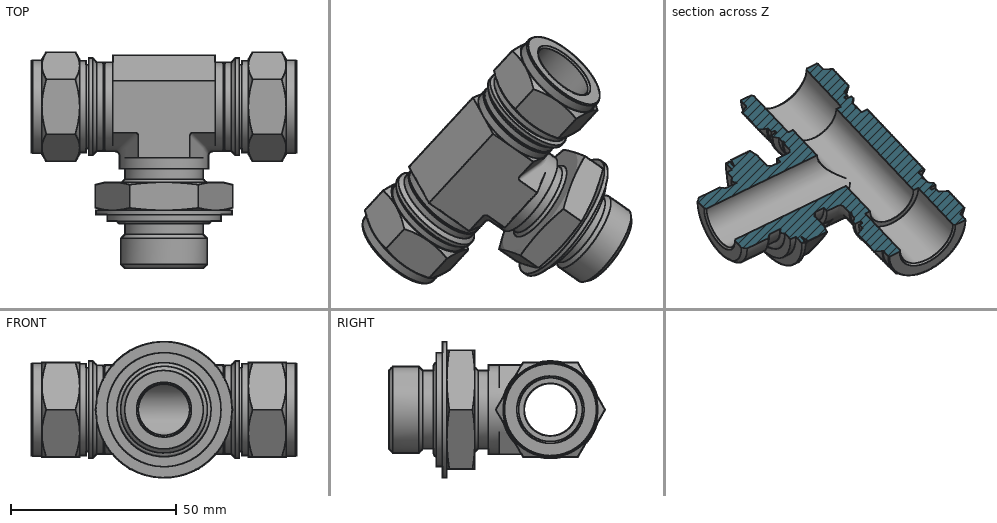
import cadquery as cq
import math

body_width = 27.0
run_half_length = 15.5
branch_hex_end = 15.5
branch_body_end = 18.75
corner_fillet = 1.2
body_radius = body_width / 2
half_flat = body_radius / math.sqrt(3)

run_body_end = 17.9
run_groove_end = 18.35
run_groove_diameter = 26.2
thread_diameter = 26.9
collar_cone_start = 20.35
collar_start = 21.55
collar_end = 22.75
collar_diameter = 29.5

gap_diameter = 25.4
nut_skirt_start = 23.6
nut_skirt_diameter = 27.8
nut_hex_start = 25.5
nut_hex_end = 36.9
nut_end = 40.1
nut_flats = 28.6
nut_corner_chamfer = 1.3
nut_cap_diameter = 28.2
nut_cap_chamfer_length = 0.5
nut_cap_chamfer_depth = 0.25

stud_end = 48.8
stud_neck_diameter = 23.7
stud_thread_diameter = 26.2
stud_thread_chamfer = (stud_thread_diameter - stud_neck_diameter) / 2
upper_thread_start = 21.9
lower_thread_start = 38.55

lock_nut_start = 22.8
lock_nut_end = 31.25
lock_nut_flats = 36.0
lock_nut_corner_chamfer = 0.7
washer_diameter = 41.2
washer_end = 32.6
retainer_diameter = 34.5
retainer_end = 34.55
o_ring_diameter = 28.6
o_ring_end = 35.35
o_ring_section_radius = (o_ring_diameter - stud_neck_diameter) / 4

run_bore_diameter = 15.8
branch_bore_diameter = 15.5
bore_chamfer = 0.6
socket_diameter = 19.2
socket_depth = 19.2

RUN_PLANE = cq.Plane(origin=(0, 0, 0), xDir=(0, 1, 0), normal=(1, 0, 0))
BRANCH_PLANE = cq.Plane(origin=(0, 0, 0), xDir=(1, 0, 0), normal=(0, -1, 0))


def revolve_along(plane, points):
    """Turn (position, radius) points about the plane's normal, closed through the axis."""
    axis = plane.zDir
    side = plane.xDir
    profile_plane = cq.Plane(origin=(0, 0, 0), xDir=axis, normal=axis.cross(side))
    outline = [(points[0][0], 0)] + points + [(points[-1][0], 0)]
    return cq.Workplane(profile_plane).polyline(outline).close().revolve(360, (0, 0), (1, 0))


def cylinder_along(plane, start, end, diameter):
    return cq.Workplane(plane).workplane(offset=start).circle(diameter / 2).extrude(end - start)


def chamfered_hexagon(plane, start, end, flats, corner_chamfer):
    """Hexagon with corners on the plane's x axis, its corners turned down conically at both ends."""
    corner_radius = flats / math.sqrt(3)
    hexagon = cq.Workplane(plane).workplane(offset=start).polygon(6, 2 * corner_radius).extrude(end - start)
    turned = revolve_along(plane, [
        (start, flats / 2),
        (start + corner_chamfer, corner_radius),
        (end - corner_chamfer, corner_radius),
        (end, flats / 2),
    ])
    return hexagon.intersect(turned)


def forged_section(plane, round_back):
    """Hexagon whose corner on the -x side, and optionally the +x side, is rounded tangent to the flats."""
    radius = body_radius
    corner = 2 * half_flat
    tangent_angle = math.radians(30)
    tangent_x = radius * math.cos(tangent_angle)
    tangent_z = radius * math.sin(tangent_angle)
    section = (
        cq.Workplane(plane)
        .moveTo(half_flat, radius)
        .lineTo(-half_flat, radius)
        .lineTo(-tangent_x, tangent_z)
        .threePointArc((-radius, 0), (-tangent_x, -tangent_z))
        .lineTo(-half_flat, -radius)
        .lineTo(half_flat, -radius)
    )
    if round_back:
        section = section.lineTo(tangent_x, -tangent_z).threePointArc((radius, 0), (tangent_x, tangent_z))
    else:
        section = section.lineTo(corner, 0)
    return section.close()


def make_body():
    run = forged_section(RUN_PLANE, round_back=False).extrude(run_half_length, both=True)
    run = run.union(cylinder_along(RUN_PLANE, -run_body_end, run_body_end, body_width))
    branch = forged_section(BRANCH_PLANE, round_back=True).extrude(branch_hex_end)
    branch = branch.union(cylinder_along(BRANCH_PLANE, 0, branch_body_end, body_width))
    body = run.union(branch)
    margin = 0.4
    near = half_flat - margin
    far = body_radius + margin
    for side in (-1, 1):
        corner_box = cq.selectors.BoxSelector(
            (side * near, -near, -far), (side * far, -far, far), boundingbox=True
        )
        body = body.edges(corner_box).fillet(corner_fillet)
    return body


def make_run_end():
    """Threaded end, collar and compression nut on the +X side."""
    turned = revolve_along(RUN_PLANE, [
        (0, run_groove_diameter / 2),
        (run_groove_end, run_groove_diameter / 2),
        (run_groove_end, thread_diameter / 2),
        (collar_cone_start, thread_diameter / 2),
        (collar_start, collar_diameter / 2),
        (collar_end, collar_diameter / 2),
        (collar_end, gap_diameter / 2),
        (nut_skirt_start, gap_diameter / 2),
        (nut_skirt_start, nut_skirt_diameter / 2),
        (nut_hex_start, nut_skirt_diameter / 2),
        (nut_hex_start, nut_cap_diameter / 2),
        (nut_end - nut_cap_chamfer_length, nut_cap_diameter / 2),
        (nut_end, nut_cap_diameter / 2 - nut_cap_chamfer_depth),
    ])
    hexagon = chamfered_hexagon(RUN_PLANE, nut_hex_start, nut_hex_end, nut_flats, nut_corner_chamfer)
    return turned.union(hexagon)


def make_stud():
    neck = stud_neck_diameter / 2
    thread = stud_thread_diameter / 2
    return revolve_along(BRANCH_PLANE, [
        (0, neck),
        (upper_thread_start, neck),
        (upper_thread_start + stud_thread_chamfer, thread),
        (lock_nut_end, thread),
        (lock_nut_end, neck),
        (lower_thread_start, neck),
        (lower_thread_start + stud_thread_chamfer, thread),
        (stud_end - stud_thread_chamfer, thread),
        (stud_end, neck),
    ])


def make_stud_hardware():
    """Lock nut, washer, retaining ring and O-ring."""
    hardware = chamfered_hexagon(
        BRANCH_PLANE, lock_nut_start, lock_nut_end, lock_nut_flats, lock_nut_corner_chamfer
    )
    hardware = hardware.union(cylinder_along(BRANCH_PLANE, lock_nut_end, washer_end, washer_diameter))
    hardware = hardware.union(cylinder_along(BRANCH_PLANE, washer_end, retainer_end, retainer_diameter))
    ring_radius = o_ring_diameter / 2 - o_ring_section_radius
    o_ring = cq.Solid.makeTorus(
        ring_radius, o_ring_section_radius,
        cq.Vector(0, o_ring_section_radius - o_ring_end, 0), cq.Vector(0, -1, 0),
    )
    return hardware.union(cq.Workplane(o_ring))


def make_run_socket():
    """Tube socket of the +X end with its entry chamfer."""
    radius = socket_diameter / 2
    return revolve_along(RUN_PLANE, [
        (nut_end - socket_depth, radius),
        (nut_end - bore_chamfer, radius),
        (nut_end, radius + bore_chamfer),
    ])


def make_branch_bore():
    radius = branch_bore_diameter / 2
    return revolve_along(BRANCH_PLANE, [
        (0, radius),
        (stud_end - bore_chamfer, radius),
        (stud_end, radius + bore_chamfer),
    ])


run_end = make_run_end()
run_socket = make_run_socket()

result = (
    make_body()
    .union(run_end)
    .union(run_end.mirror("YZ"))
    .union(make_stud())
    .union(make_stud_hardware())
    .cut(cylinder_along(RUN_PLANE, -nut_end, nut_end, run_bore_diameter))
    .cut(run_socket)
    .cut(run_socket.mirror("YZ"))
    .cut(make_branch_bore())
)